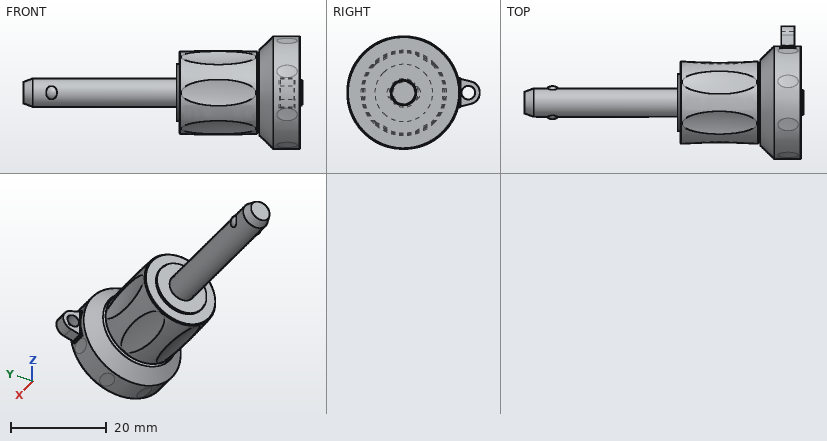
import cadquery as cq
import math

pin_diameter = 6.0
pin_radius = pin_diameter / 2
tip_radius = 2.25
tip_length = 2.0
ball_x = 5.9
ball_radius = 1.6
ball_reach = 3.5

collar_start = 31.95
collar_radius = 6.0
grip_start = 32.5
grip_end = 48.85
grip_end_radius = 8.6
grip_bulge = 0.2
grip_chamfer = 0.25
flute_count = 6
flute_depth = 0.55
flute_section_radius = 13.4
flute_end_margin = 0.2

head_start = 49.1
head_neck_radius = 8.9
rim_start = 52.1
rim_end = 57.75
rim_diameter = 23.6
rim_radius = rim_diameter / 2
rim_chamfer = 0.25
button_radius = 2.7
button_step = 0.25
overall_length = 58.2
overall_depth = 27.7
dimple_count = 8
dimple_x = (rim_start + rim_end) / 2
dimple_depth = 0.15
dimple_sphere_radius = 15.0

eye_x = dimple_x
eye_width = 2.85
eye_diameter = 4.85
eye_outer_radius = eye_diameter / 2
eye_reach = overall_depth - rim_radius
eye_y = eye_reach - eye_outer_radius
eye_hole_radius = 1.4
eye_root_y = 11.9
eye_root_half_height = 2.9
foot_flare = 0.25
foot_drop = 0.25
foot_inner_y = 10.5


def make_body():
    """Everything turned about the X axis, as one stepped profile."""
    button_shoulder = (rim_end + overall_length) / 2
    grip_middle = (grip_start + grip_end) / 2
    before_barrel = [
        (0, tip_radius),
        (tip_length, pin_radius),
        (collar_start, pin_radius),
        (collar_start, collar_radius),
        (grip_start, collar_radius),
        (grip_start, grip_end_radius - grip_chamfer),
        (grip_start + grip_chamfer, grip_end_radius),
    ]
    after_barrel = [
        (grip_end, grip_end_radius - grip_chamfer),
        (grip_end, collar_radius),
        (head_start, collar_radius),
        (head_start, head_neck_radius),
        (rim_start, rim_radius),
        (rim_end - rim_chamfer, rim_radius),
        (rim_end, rim_radius - rim_chamfer),
        (rim_end, button_radius),
        (button_shoulder, button_radius),
        (button_shoulder, button_radius - button_step),
        (overall_length, button_radius - button_step),
        (overall_length, 0),
    ]
    profile = (
        cq.Workplane("XY")
        .polyline([(0, 0)] + before_barrel, includeCurrent=False)
        .threePointArc(
            (grip_middle, grip_end_radius + grip_bulge),
            (grip_end - grip_chamfer, grip_end_radius),
        )
    )
    for point in after_barrel:
        profile = profile.lineTo(*point)
    return profile.close().revolve(360, (0, 0, 0), (1, 0, 0))


def make_balls():
    """The pair of locking balls standing out of the pin along Y."""
    ball_offset = ball_reach - ball_radius
    ball = cq.Workplane("XY").sphere(ball_radius)
    return ball.translate((ball_x, ball_offset, 0)).union(ball.translate((ball_x, -ball_offset, 0)))


def make_flute_cutter():
    """Barrel-shaped cutter on the +Y side, deepest at the middle of the grip."""
    start = grip_start + grip_chamfer + flute_end_margin
    end = grip_end - grip_chamfer - flute_end_margin
    middle = (start + end) / 2
    floor_y = grip_end_radius - flute_depth
    axis_y = floor_y + flute_section_radius
    return (
        cq.Workplane("XY")
        .moveTo(start, axis_y)
        .lineTo(start, grip_end_radius)
        .threePointArc((middle, floor_y), (end, grip_end_radius))
        .lineTo(end, axis_y)
        .close()
        .revolve(360, (start, axis_y, 0), (end, axis_y, 0))
    )


def make_dimple_cutter():
    """Large sphere that just dips into the rim on the +Y side."""
    center_y = rim_radius - dimple_depth + dimple_sphere_radius
    return cq.Workplane("XY").sphere(dimple_sphere_radius).translate((dimple_x, center_y, 0))


def cut_around(body, cutter, count, first_angle):
    """Cut evenly spaced copies of the cutter around the X axis."""
    for index in range(count):
        angle = first_angle + index * 360 / count
        body = body.cut(cutter.rotate((0, 0, 0), (1, 0, 0), angle))
    return body


def make_eye():
    """Rounded lug whose straight sides run tangent to its outer arc, on a flared foot."""
    rise = eye_y - eye_root_y
    root_distance = math.hypot(rise, eye_root_half_height)
    tangent_angle = math.atan2(eye_root_half_height, -rise) - math.acos(eye_outer_radius / root_distance)
    tangent_y = eye_y + eye_outer_radius * math.cos(tangent_angle)
    tangent_z = eye_outer_radius * math.sin(tangent_angle)
    lug = (
        cq.Workplane("YZ", origin=(eye_x - eye_width / 2, 0, 0))
        .moveTo(foot_inner_y, -eye_root_half_height)
        .lineTo(eye_root_y, -eye_root_half_height)
        .lineTo(tangent_y, -tangent_z)
        .threePointArc((eye_reach, 0), (tangent_y, tangent_z))
        .lineTo(eye_root_y, eye_root_half_height)
        .lineTo(foot_inner_y, eye_root_half_height)
        .close()
        .extrude(eye_width)
    )
    foot_base_y = eye_root_y - foot_drop
    foot_height = 2 * eye_root_half_height
    foot = (
        cq.Workplane("XZ", origin=(eye_x, eye_root_y, 0))
        .rect(eye_width, foot_height)
        .workplane(offset=foot_drop)
        .rect(eye_width + 2 * foot_flare, foot_height + 2 * foot_flare)
        .loft(combine=True)
    )
    foot_pad = (
        cq.Workplane("XZ", origin=(eye_x, foot_base_y, 0))
        .rect(eye_width + 2 * foot_flare, foot_height + 2 * foot_flare)
        .extrude(foot_base_y - foot_inner_y)
    )
    hole = (
        cq.Workplane("YZ", origin=(eye_x - eye_width, 0, 0))
        .center(eye_y, 0)
        .circle(eye_hole_radius)
        .extrude(2 * eye_width)
    )
    return lug.union(foot).union(foot_pad).cut(hole)


body = make_body().union(make_balls())
body = cut_around(body, make_flute_cutter(), flute_count, 0)
body = cut_around(body, make_dimple_cutter(), dimple_count, 180 / dimple_count)
result = body.union(make_eye())